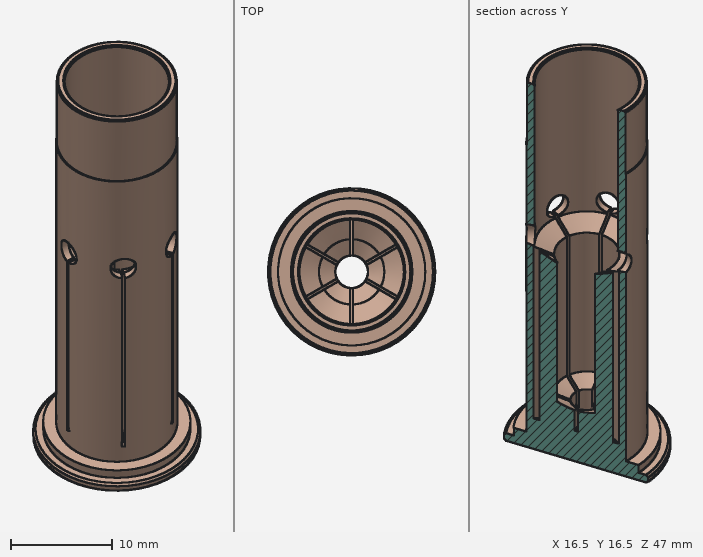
import cadquery as cq

height = 47.0
sleeve_radius = 12.0 / 2
neck_radius = 11.85 / 2
neck_length = 8.0
bore_radius = 10.3 / 2
rim_chamfer = 0.15

flange_radius = 16.5 / 2
flange_height = 1.05
flange_chamfer = 0.25
collar_radius = 14.5 / 2
collar_top = 2.0

outlet_radius = 3.2 / 2
throat_radius = 6.45 / 2
outlet_funnel_bottom = 6.1
outlet_funnel_top = 7.05
inlet_funnel_bottom = 24.9
inlet_funnel_top = 26.05

slot_count = 6
slot_width = 0.3
slot_bottom = 4.0
relief_diameter = 2.55
relief_height = 27.5


def sleeve_body():
    """Sleeve, neck and stepped foot as one solid of revolution."""
    neck_bottom = height - neck_length
    return (
        cq.Workplane("XZ")
        .moveTo(0, 0)
        .lineTo(flange_radius - flange_chamfer, 0)
        .lineTo(flange_radius, flange_chamfer)
        .lineTo(flange_radius, flange_height - flange_chamfer)
        .lineTo(flange_radius - flange_chamfer, flange_height)
        .lineTo(collar_radius, flange_height)
        .lineTo(collar_radius, collar_top)
        .lineTo(sleeve_radius, collar_top)
        .lineTo(sleeve_radius, neck_bottom)
        .lineTo(neck_radius, neck_bottom)
        .lineTo(neck_radius, height - rim_chamfer)
        .lineTo(neck_radius - rim_chamfer, height)
        .lineTo(0, height)
        .close()
        .revolve(360, (0, 0), (0, 1))
    )


def bore():
    """Cavity: narrow outlet, two funnels around a throat, and wide bore with a chamfered mouth."""
    return (
        cq.Workplane("XZ")
        .moveTo(0, 0)
        .lineTo(outlet_radius, 0)
        .lineTo(outlet_radius, outlet_funnel_bottom)
        .lineTo(throat_radius, outlet_funnel_top)
        .lineTo(throat_radius, inlet_funnel_bottom)
        .lineTo(bore_radius, inlet_funnel_top)
        .lineTo(bore_radius, height - rim_chamfer)
        .lineTo(bore_radius + rim_chamfer, height)
        .lineTo(0, height)
        .close()
        .revolve(360, (0, 0), (0, 1))
    )


def relief_slot(angle):
    """Round relief hole and the slot below it, cut from the axis outwards."""
    hole = (
        cq.Workplane("YZ")
        .center(0, relief_height)
        .circle(relief_diameter / 2)
        .extrude(flange_radius)
    )
    slot = cq.Workplane("XY").workplane(offset=slot_bottom).box(
        flange_radius, slot_width, relief_height - slot_bottom, centered=(False, True, False)
    )
    return hole.union(slot).rotate((0, 0, 0), (0, 0, 1), angle)


result = sleeve_body().cut(bore())
for index in range(slot_count):
    result = result.cut(relief_slot(90 + index * 360 / slot_count))